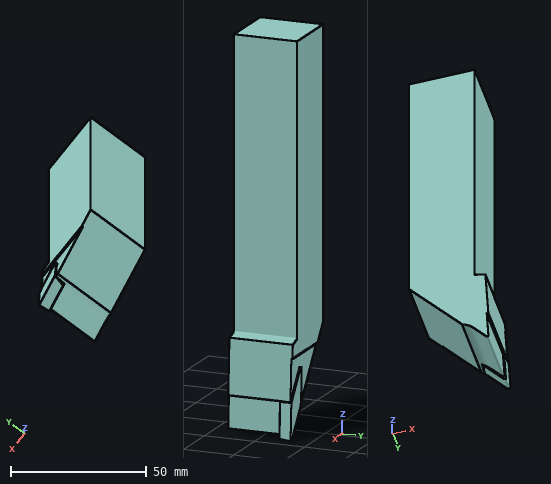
import cadquery as cq
import math

overall_length = 152.4
overall_width = 31.7
shank_size = 25.5
shank_left_end = 38.3
shank_right_end = 38.0

head_right = 29.5
shoulder_angle = 15.0
side_step_height = 15.0
relief_start_x = 20.5
relief_end_x = 24.8
nose_setback = 2.9
holder_nose_radius = 0.5
shoulder_fillet = 0.6
face_recess_top = 31.4
face_recess_depth = 0.5

insert_width = 9.5
insert_thickness = 4.7
insert_clearance = 5.0
insert_nose_radius = 0.8
side_angle = 3.0
point_angle = 35.0

edge_angle = side_angle + point_angle
bisector_angle = side_angle + point_angle / 2
insert_side = insert_width / math.sin(math.radians(point_angle))
insert_nose_center = (overall_width - insert_nose_radius, insert_nose_radius)


def move(point, distance, angle):
    """Move a point upwards along a line that leans left by an angle from vertical."""
    lean = math.radians(angle)
    return (point[0] - distance * math.sin(lean), point[1] + distance * math.cos(lean))


def on_line_at_x(point, angle, x):
    """Point with the given x on a line through a point, leaning left from vertical."""
    return (x, point[1] + (point[0] - x) / math.tan(math.radians(angle)))


def on_line_at_z(point, angle, z):
    """Point with the given z on a line through a point, leaning left from vertical."""
    return (point[0] - (z - point[1]) * math.tan(math.radians(angle)), z)


def sharp_tip_distance(radius):
    """Distance from the center of a nose arc to the sharp tip that it rounds."""
    return radius / math.sin(math.radians(point_angle / 2))


insert_tip = move(insert_nose_center, -sharp_tip_distance(insert_nose_radius), bisector_angle)


def make_insert():
    """Rhombic plate flush with the +Y side of the shank, its flanks tapering towards -Y."""
    right_corner = move(insert_tip, insert_side, side_angle)
    left_corner = move(insert_tip, insert_side, edge_angle)
    far_tip = move(right_corner, insert_side, edge_angle)
    outline = (
        cq.Sketch()
        .polygon([insert_tip, right_corner, far_tip, left_corner, insert_tip])
        .vertices("<Y or >Y")
        .fillet(insert_nose_radius)
    )
    return (
        cq.Workplane("XZ", origin=(0, shank_size, 0))
        .placeSketch(outline)
        .extrude(insert_thickness, taper=insert_clearance)
    )


def make_blank():
    """Shank and head as one profile through the full depth."""
    shoulder_drop = (head_right - shank_size) * math.tan(math.radians(shoulder_angle))
    head_corner = (head_right, shank_right_end - shoulder_drop)

    center = move(insert_tip, nose_setback + sharp_tip_distance(holder_nose_radius), bisector_angle)
    nose_right = move(center, holder_nose_radius, side_angle - 90)
    nose_bottom = move(center, -holder_nose_radius, bisector_angle)
    nose_left = move(center, holder_nose_radius, edge_angle + 90)

    relief_start = on_line_at_x((0, shank_left_end), edge_angle, relief_start_x)
    relief_end = on_line_at_x(nose_left, edge_angle, relief_end_x)

    profile = (
        cq.Workplane("XZ", origin=(0, shank_size, 0))
        .moveTo(0, overall_length)
        .lineTo(shank_size, overall_length)
        .lineTo(shank_size, shank_right_end)
        .lineTo(*head_corner)
        .lineTo(*on_line_at_z(head_corner, side_angle, side_step_height))
        .lineTo(*on_line_at_z(nose_right, side_angle, side_step_height))
        .lineTo(*nose_right)
        .threePointArc(nose_bottom, nose_left)
        .lineTo(*relief_end)
        .tangentArcPoint(relief_start, relative=False)
        .lineTo(0, shank_left_end)
        .close()
    )
    return profile.extrude(shank_size)


def round_shoulder(blank):
    """Fillet the inner corner where the shank meets the shoulder."""
    corner = cq.selectors.NearestToPointSelector((shank_size, shank_size / 2, shank_right_end))
    return blank.edges(corner).fillet(shoulder_fillet)


def recess_face(blank):
    """Set the +Y side of the head back, so that the insert stands slightly proud."""
    recess = cq.Workplane("XY").box(
        overall_width, face_recess_depth, face_recess_top, centered=False
    )
    return blank.cut(recess.translate((0, shank_size - face_recess_depth, 0)))


def make_holder(insert):
    """Shank and head in one piece, with a seat that fits the insert."""
    blank = round_shoulder(make_blank())
    return recess_face(blank).cut(insert)


insert = make_insert()
holder = make_holder(insert)
result = cq.Compound.makeCompound([holder.val(), insert.val()])